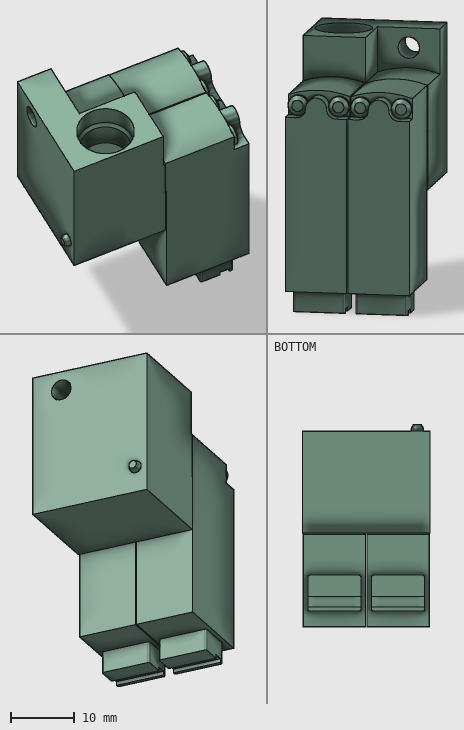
import cadquery as cq
import math


overall_height = 41.75
manifold_width = 20.0
valve_pitch = manifold_width / 2
valve_centres = [-valve_pitch / 2, valve_pitch / 2]

manifold_depth = 16.0
manifold_height = 23.85
manifold_bottom = overall_height - manifold_height
slab_thickness = 5.9
tower_setback = 0.38

port_diameter = 9.0
port_depth = 3.5
port_bore_diameter = 8.0
port_total_depth = 8.0
port_cone_height = (port_diameter - port_bore_diameter) / 2
port_x = valve_pitch / 2
port_y = -8.0

slab_hole_diameter = 3.4
slab_hole_x = -valve_pitch / 2
slab_hole_drop = 3.17

button_base_diameter = 2.0
button_middle_diameter = 1.9
button_shoulder_diameter = 1.6
button_tip_diameter = 1.3
button_height = 1.0
button_shoulder_height = 0.75
button_x = 8.0
button_z = 22.25

valve_width = 9.8
valve_depth = 14.7
valve_bottom = 3.65
crown_radius = 15.0
crown_top = 35.4
relief_depth = 0.25
relief_top = 27.3

seat_depth = 2.6
seat_radius = 1.607
boss_radius = 1.65
seat_centre_z = 33.0
screw_offset = boss_radius + seat_radius

head_diameter = 3.2
head_tip_diameter = 1.8
head_rim_height = 0.63
head_cone_height = 0.38

plug_width = 8.3
plug_depth = 5.65
plug_rear_inset = 2.45
plug_corner_radius = 0.3
notch_width = 1.63
notch_height = 0.63
notch_rear_inset = 0.63


def box(x_range, y_range, z_range):
    """Box between two limits on each axis."""
    size = [high - low for low, high in (x_range, y_range, z_range)]
    corner = cq.Vector(x_range[0], y_range[0], z_range[0])
    return cq.Workplane(cq.Solid.makeBox(*size, corner))


def cylinder_along_y(diameter, x, z, y_start, y_end):
    """Round bar from y_start towards +Y."""
    start = cq.Vector(x, y_start, z)
    return cq.Workplane(cq.Solid.makeCylinder(diameter / 2, y_end - y_start, start, cq.Vector(0, 1, 0)))


def crowned_block(x_centre, width, y_range, bottom):
    """Block whose top is a shallow arch running along Y."""
    half = width / 2
    shoulder = crown_top - crown_radius + math.sqrt(crown_radius**2 - half**2)
    return (
        cq.Workplane("XZ", origin=(x_centre, y_range[1], 0))
        .moveTo(-half, bottom)
        .lineTo(half, bottom)
        .lineTo(half, shoulder)
        .threePointArc((0, crown_top), (-half, shoulder))
        .close()
        .extrude(y_range[1] - y_range[0])
    )


def port_cutter():
    """Stepped bore with a conical shoulder, turned about the port axis."""
    radius = port_diameter / 2
    bore_radius = port_bore_diameter / 2
    return (
        cq.Workplane("XZ", origin=(port_x, port_y, overall_height))
        .polyline([
            (0, 0),
            (radius, 0),
            (radius, -port_depth),
            (bore_radius, -port_depth - port_cone_height),
            (bore_radius, -port_total_depth),
            (0, -port_total_depth),
        ])
        .close()
        .revolve()
    )


def override_button():
    """Round button with a bulging flank and a conical tip, standing on the -Y face."""
    return (
        cq.Workplane("XY", origin=(button_x, -manifold_depth, button_z))
        .lineTo(button_base_diameter / 2, 0)
        .threePointArc(
            (button_middle_diameter / 2, -button_shoulder_height / 2),
            (button_shoulder_diameter / 2, -button_shoulder_height),
        )
        .lineTo(button_tip_diameter / 2, -button_height)
        .lineTo(0, -button_height)
        .close()
        .revolve(360, (0, 0, 0), (0, 1, 0))
    )


def make_manifold():
    """Block with crowned valve seats, an L-shaped upper part, port, slab hole and button."""
    half = manifold_width / 2
    front = -manifold_depth
    upper = (manifold_bottom, overall_height)
    slab = box((-half, half), (front, front + slab_thickness), upper)
    tower = box((0, half), (front, -tower_setback), upper)
    body = slab.union(tower)
    for x in valve_centres:
        body = body.union(crowned_block(x, valve_pitch, (front + slab_thickness, 0), manifold_bottom))
    slab_hole = cylinder_along_y(
        slab_hole_diameter, slab_hole_x, overall_height - slab_hole_drop, front, front + slab_thickness
    )
    return body.cut(port_cutter()).cut(slab_hole).union(override_button())


def seat_cutter(x_centre):
    """Rear recess: a flat floor rising through two round seats to a round boss in the middle."""
    half = valve_width / 2
    floor = seat_centre_z - seat_radius
    seat_mid = seat_radius * math.sqrt(0.5)
    return (
        cq.Workplane("XZ", origin=(x_centre, valve_depth, 0))
        .moveTo(-half, crown_top)
        .lineTo(-half, floor)
        .lineTo(-screw_offset, floor)
        .threePointArc((-screw_offset + seat_mid, seat_centre_z - seat_mid), (-boss_radius, seat_centre_z))
        .threePointArc((0, seat_centre_z + boss_radius), (boss_radius, seat_centre_z))
        .threePointArc((screw_offset - seat_mid, seat_centre_z - seat_mid), (screw_offset, floor))
        .lineTo(half, floor)
        .lineTo(half, crown_top)
        .close()
        .extrude(seat_depth)
    )


def make_plug(x_centre):
    """Plug with rounded upright edges and a notch across its lower end."""
    half = plug_width / 2
    rear = valve_depth - plug_rear_inset
    notch_rear = rear - notch_rear_inset
    plug = box((x_centre - half, x_centre + half), (rear - plug_depth, rear), (0, valve_bottom))
    plug = plug.edges("|Z").fillet(plug_corner_radius)
    notch = box((x_centre - half, x_centre + half), (notch_rear - notch_width, notch_rear), (0, notch_height))
    return plug.cut(notch)


def make_valve(x_centre):
    """Crowned valve body with screw seats, a relieved lower front face and its plug."""
    half = valve_width / 2
    body = crowned_block(x_centre, valve_width, (0, valve_depth), valve_bottom)
    relief = box((x_centre - half, x_centre + half), (0, relief_depth), (valve_bottom, relief_top))
    return body.cut(seat_cutter(x_centre)).cut(relief).union(make_plug(x_centre))


def make_screw(x):
    """Screw head with a conical top, resting on the seat wall."""
    seat_wall = valve_depth - seat_depth
    head_height = head_rim_height + head_cone_height
    return (
        cq.Workplane("XY", origin=(x, seat_wall, seat_centre_z))
        .polyline([
            (0, 0),
            (head_diameter / 2, 0),
            (head_diameter / 2, head_rim_height),
            (head_tip_diameter / 2, head_height),
            (0, head_height),
        ])
        .close()
        .revolve(360, (0, 0, 0), (0, 1, 0))
    )


manifold = make_manifold()
valves = [make_valve(x) for x in valve_centres]
screws = [make_screw(x + side * screw_offset) for x in valve_centres for side in (-1, 1)]

bodies = [manifold, *valves, *screws]
result = cq.Compound.makeCompound([body.solids().val() for body in bodies])